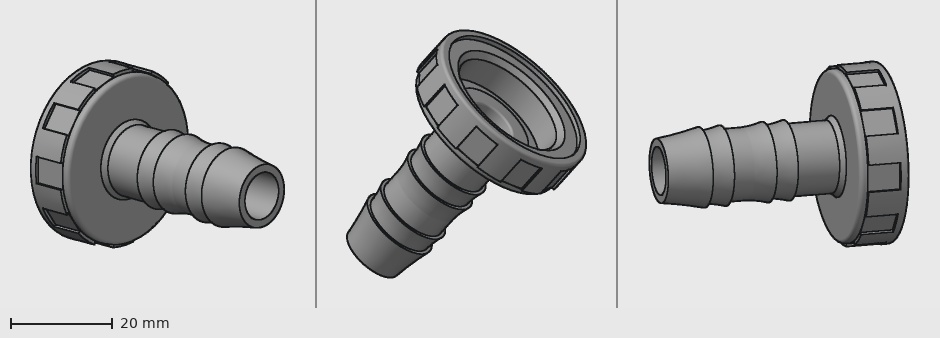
import cadquery as cq
overall_length = 46.0

nut_radius = 18.01
nut_rim_length = 8.33
nut_length = 9.95
front_edge_round = 0.6
collar_radius = 17.25
collar_edge_round = 0.87
face_recess_radius = 16.2
face_recess_depth = 1.0
thread_outer_radius = 13.2
thread_inner_radius = 12.0
bore_depth = 8.0

grip_count = 10
grip_width = 5.5
grip_start = 1.75
grip_floor_radius = collar_radius

barb_pitch = 4.35
stem_radius = 7.2
barb_radius = 8.0
tip_radius = 6.4
head_radius = 8.8
head_protrusion = 0.9
head_cone_length = 2.02
passage_radius = 4.8
passage_edge_round = 0.45
barb_sag = 0.15
tip_sag = 0.15
tip_barb = overall_length - 2 * barb_pitch
third_barb = tip_barb - barb_pitch
second_barb = third_barb - 2 * barb_pitch
first_barb = second_barb - barb_pitch
stem_start = first_barb - 2 * barb_pitch
head_start = bore_depth - head_protrusion
head_end = stem_start - head_cone_length


def revolve_about_x(profile):
    """Turn a closed XY profile (x along the axis, y as radius) into a solid."""
    return profile.close().revolve(360, (0, 0, 0), (1, 0, 0))


def make_nut():
    """Nut with a recessed face, a chamfered bore, grips and a seat for the tail."""
    thread_chamfer = thread_outer_radius - thread_inner_radius
    body = revolve_about_x(
        cq.Workplane("XY")
        .moveTo(0, face_recess_radius)
        .lineTo(0, nut_radius)
        .lineTo(nut_rim_length, nut_radius)
        .lineTo(nut_rim_length, collar_radius)
        .lineTo(nut_length, collar_radius)
        .lineTo(nut_length, 0)
        .lineTo(bore_depth, 0)
        .lineTo(bore_depth, thread_inner_radius)
        .lineTo(face_recess_depth + thread_chamfer, thread_inner_radius)
        .lineTo(face_recess_depth, thread_outer_radius)
        .lineTo(face_recess_depth, face_recess_radius)
    )
    body = body.faces("<X").edges(cq.selectors.RadiusNthSelector(-1)).fillet(front_edge_round)
    body = body.faces(">X").edges().fillet(collar_edge_round)
    return cut_grips(body).cut(make_tail_envelope())


def cut_grips(body):
    """Cut flat-floored recesses around the rim, open toward the collar."""
    grip_length = nut_rim_length - grip_start
    grip_height = nut_radius - grip_floor_radius
    cutter = cq.Workplane("XY").box(
        grip_length, grip_height, grip_width, centered=(False, False, True)
    )
    cutter = cutter.translate((grip_start, grip_floor_radius, 0))
    for i in range(grip_count):
        body = body.cut(cutter.rotate((0, 0, 0), (1, 0, 0), i * 360 / grip_count))
    return body


def add_barb(profile, crest_x, end_x, end_radius, sag):
    """Step up to a barb crest, then fall along a slightly hollow curve."""
    middle = ((crest_x + end_x) / 2, (barb_radius + end_radius) / 2 - sag)
    return profile.lineTo(crest_x, barb_radius).threePointArc(middle, (end_x, end_radius))


def make_tail_envelope():
    """Outside of the hose tail without its passage."""
    profile = (
        cq.Workplane("XY")
        .moveTo(head_start, 0)
        .lineTo(head_start, head_radius)
        .lineTo(head_end, head_radius)
        .lineTo(stem_start, stem_radius)
    )
    profile = profile.lineTo(first_barb, stem_radius)
    profile = add_barb(profile, first_barb, second_barb, stem_radius, barb_sag)
    profile = add_barb(profile, second_barb, second_barb + barb_pitch, stem_radius, barb_sag)
    profile = profile.lineTo(third_barb, stem_radius)
    profile = add_barb(profile, third_barb, tip_barb, stem_radius, barb_sag)
    profile = add_barb(profile, tip_barb, overall_length, tip_radius, tip_sag)
    return revolve_about_x(profile.lineTo(overall_length, 0))


def make_tail():
    """Hose tail with a through passage, rounded at the head end."""
    passage = cq.Workplane("YZ").circle(passage_radius).extrude(overall_length)
    tail = make_tail_envelope().cut(passage)
    return tail.faces("<X").edges(cq.selectors.RadiusNthSelector(0)).fillet(passage_edge_round)


nut = make_nut()
tail = make_tail()
result = cq.Compound.makeCompound([nut.val(), tail.val()])